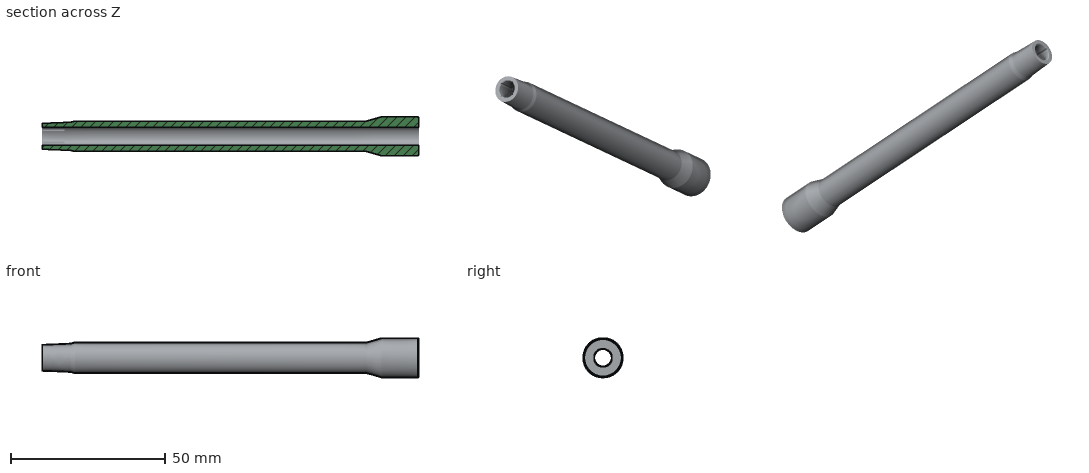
import cadquery as cq

total_length = 122.3
tip_length = 9.2
step_end = 10.6
flare_start = 105.3
head_start = 110.2
head_chamfer = 0.4

tip_end_diameter = 8.5
tip_root_diameter = 9.3
shaft_diameter = 10.0
head_diameter = 12.8
bore_diameter = 5.6
countersink_diameter = 6.1

square_width = 4.5
square_depth = 7.3

start_x = -total_length / 2
end_x = start_x + total_length


def turned_body():
    """Revolve the stepped outer profile about the X axis."""
    profile = [
        (start_x, 0),
        (start_x, tip_end_diameter / 2),
        (start_x + tip_length, tip_root_diameter / 2),
        (start_x + step_end, shaft_diameter / 2),
        (start_x + flare_start, shaft_diameter / 2),
        (start_x + head_start, head_diameter / 2),
        (end_x - head_chamfer, head_diameter / 2),
        (end_x, head_diameter / 2 - head_chamfer),
        (end_x, 0),
    ]
    return cq.Workplane("XY").polyline(profile).close().revolve(360, (0, 0, 0), (1, 0, 0))


def through_bore():
    """Round bore running the full length of the part."""
    return (
        cq.Workplane("YZ", origin=(start_x, 0, 0))
        .circle(bore_diameter / 2)
        .extrude(total_length)
    )


def square_socket():
    """Blind square socket whose corners cut into the bore wall."""
    return (
        cq.Workplane("YZ", origin=(start_x, 0, 0))
        .rect(square_width, square_width)
        .extrude(square_depth)
    )


def mouth_countersink():
    """45 degree countersink at the tip end of the bore."""
    countersink_depth = (countersink_diameter - bore_diameter) / 2
    profile = [
        (start_x, 0),
        (start_x, countersink_diameter / 2),
        (start_x + countersink_depth, bore_diameter / 2),
        (start_x + countersink_depth, 0),
    ]
    return cq.Workplane("XY").polyline(profile).close().revolve(360, (0, 0, 0), (1, 0, 0))


result = turned_body().cut(through_bore()).cut(square_socket()).cut(mouth_countersink())